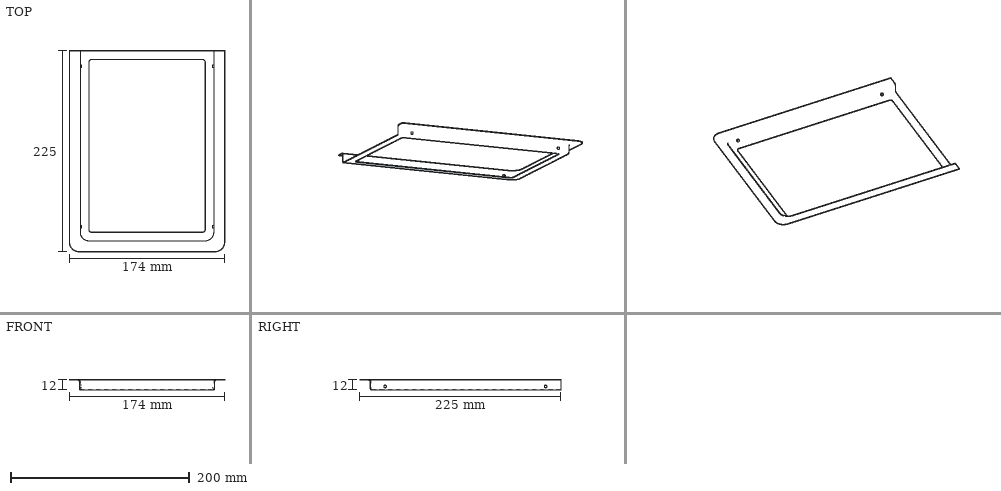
import cadquery as cq
import math

width = 174.0
length = 225.0
height = 12.0
sheet = 0.8

flange_corner_radius = 11.0
wall_inset = 11.5
opening_inset = 22.0
opening_back_inset = 10.0
opening_corner_radius = 3.0

flange_bend = 2.0
floor_bend = 1.0

pip_radius = 1.48
pip_rise = 1.5
pip_height = 4.0
pip_back_inset = 17.3
pip_front_inset = 28.1

cos45 = math.sqrt(0.5)
back = length / 2
front = -length / 2
wall_x = width / 2 - wall_inset
wall_front = front + wall_inset
wall_corner_radius = opening_inset - wall_inset


def u_plate(inset, corner_radius, bottom):
    """Plate of sheet thickness, square at the back and rounded at the front corners."""
    plate_width = width - 2 * inset
    plate_length = length - inset
    return (
        cq.Workplane("XY", origin=(0, back - plate_length / 2, bottom))
        .rect(plate_width, plate_length)
        .extrude(sheet)
        .edges("|Z and <Y")
        .fillet(corner_radius)
    )


def wall_path():
    """Outer face of the wall in plan: left side, front and right side."""
    corner_x = wall_x - wall_corner_radius
    corner_y = wall_front + wall_corner_radius
    diagonal = wall_corner_radius * cos45
    return (
        cq.Workplane("XY")
        .moveTo(-wall_x, back)
        .lineTo(-wall_x, corner_y)
        .threePointArc((-corner_x - diagonal, corner_y - diagonal), (-corner_x, wall_front))
        .lineTo(corner_x, wall_front)
        .threePointArc((corner_x + diagonal, corner_y - diagonal), (wall_x, corner_y))
        .lineTo(wall_x, back)
    )


def wall_section():
    """Section of the left wall with the flange bend above and the floor bend below."""
    flange_x = -wall_x - flange_bend
    flange_z = height - sheet - flange_bend
    floor_x = -wall_x + sheet + floor_bend
    floor_z = sheet + floor_bend
    flange_outer = flange_bend + sheet
    floor_outer = floor_bend + sheet
    return (
        cq.Workplane("XZ", origin=(0, back, 0))
        .moveTo(flange_x, height)
        .threePointArc(
            (flange_x + flange_outer * cos45, flange_z + flange_outer * cos45),
            (-wall_x + sheet, flange_z),
        )
        .lineTo(-wall_x + sheet, floor_z)
        .threePointArc(
            (floor_x - floor_bend * cos45, floor_z - floor_bend * cos45),
            (floor_x, sheet),
        )
        .lineTo(floor_x, 0)
        .threePointArc(
            (floor_x - floor_outer * cos45, floor_z - floor_outer * cos45),
            (-wall_x, floor_z),
        )
        .lineTo(-wall_x, flange_z)
        .threePointArc(
            (flange_x + flange_bend * cos45, flange_z + flange_bend * cos45),
            (flange_x, height - sheet),
        )
        .close()
    )


def flange():
    """Flat rim left around the flange bend."""
    rim_inset = wall_inset - flange_bend
    inside = u_plate(rim_inset, opening_inset - rim_inset, height - sheet)
    return u_plate(0, flange_corner_radius, height - sheet).cut(inside)


def floor():
    """Flat floor inside the floor bend, with the rounded rectangular opening."""
    floor_inset = wall_inset + sheet + floor_bend
    opening_length = length - opening_inset - opening_back_inset
    opening_middle = back - opening_back_inset - opening_length / 2
    opening = (
        cq.Workplane("XY", origin=(0, opening_middle, 0))
        .rect(width - 2 * opening_inset, opening_length)
        .extrude(sheet)
        .edges("|Z")
        .fillet(opening_corner_radius)
    )
    return u_plate(floor_inset, opening_inset - floor_inset, 0).cut(opening)


def pip(side, y):
    """Small round pip on one side wall, standing inward from mid-thickness."""
    start = cq.Vector(side * (wall_x - sheet / 2), y, pip_height)
    inward = cq.Vector(-side, 0, 0)
    return cq.Workplane(cq.Solid.makeCylinder(pip_radius, sheet / 2 + pip_rise, start, inward))


result = wall_section().sweep(wall_path()).union(flange()).union(floor())
for side in (-1, 1):
    for pip_y in (back - pip_back_inset, front + pip_front_inset):
        result = result.union(pip(side, pip_y))